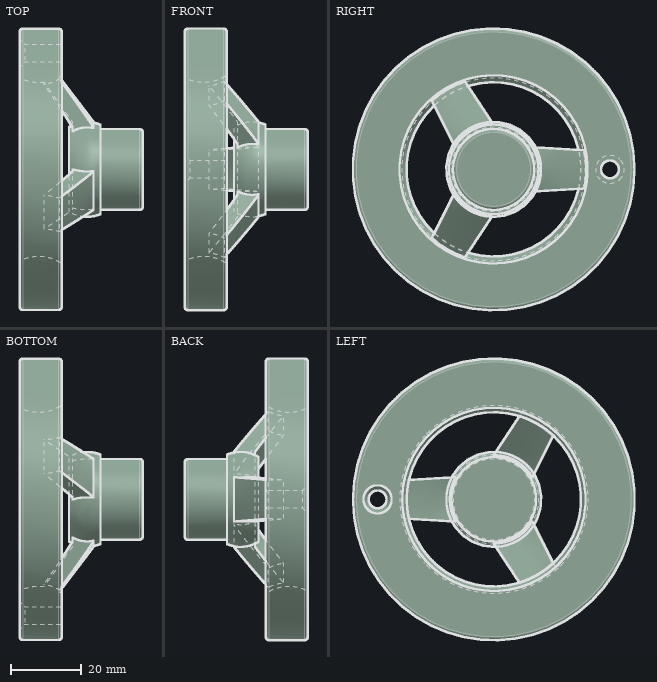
import cadquery as cq
import math


rim_radius = 40.0
rim_width = 12.0
rim_fillet = 1.0
rim_bore_front_radius = 26.0
rim_bore_back_radius = 26.7
rim_bore_middle_radius = 24.7

head_start = 14.0
head_end = 23.0
head_face_radius = 12.0
head_crown_radius = 13.5
head_crown_position = 19.0
head_back_radius = 12.7
shank_radius = 23.0 / 2
shank_fillet = 1.0
wheel_length = 35.0

spoke_count = 3
spoke_outer_radius_at_rim = 25.3
spoke_inner_radius_at_rim = 17.7
spoke_outer_end = 21.0
spoke_inner_end = 15.0
spoke_end_radius = 13.5
spoke_core_radius = 10.0
spoke_tip_radius = 25.0
spoke_tip_half_width = 5.5
spoke_root_radius = 11.5
spoke_root_half_width = 6.3

handle_offset = 33.0
handle_hole_diameter = 5.0
handle_sink_diameter = 8.0
handle_sink_angle = 90.0


def revolve_about_x(profile):
    """Revolve an (X, radius) profile a full turn about the X axis."""
    return profile.close().revolve(360, (0, 0, 0), (1, 0, 0))


def make_rim():
    """Ring with a bore that bulges inward and rounded outer edges."""
    profile = (
        cq.Workplane("XY")
        .moveTo(0, rim_bore_front_radius)
        .lineTo(0, rim_radius)
        .lineTo(rim_width, rim_radius)
        .lineTo(rim_width, rim_bore_back_radius)
        .threePointArc((rim_width / 2, rim_bore_middle_radius), (0, rim_bore_front_radius))
    )
    rim = revolve_about_x(profile)
    outer_edge = cq.selectors.RadiusNthSelector(-1)
    rim = rim.faces("<X").edges(outer_edge).fillet(rim_fillet)
    return rim.faces(">X").edges(outer_edge).fillet(rim_fillet)


def make_hub():
    """Crowned head and plain shank with a rounded end."""
    profile = (
        cq.Workplane("XY")
        .moveTo(head_start, 0)
        .lineTo(head_start, head_face_radius)
        .threePointArc((head_crown_position, head_crown_radius), (head_end, head_back_radius))
        .lineTo(head_end, shank_radius)
        .lineTo(wheel_length, shank_radius)
        .lineTo(wheel_length, 0)
    )
    return revolve_about_x(profile).faces(">X").edges().fillet(shank_fillet)


def make_spokes():
    """Equally spaced arms that widen towards the hub."""
    outer_slope = (spoke_outer_radius_at_rim - spoke_end_radius) / (spoke_outer_end - rim_width)
    inner_slope = (spoke_inner_radius_at_rim - spoke_end_radius) / (spoke_inner_end - rim_width)
    buried_radius = (rim_bore_back_radius + rim_radius) / 2
    buried_outer_x = rim_width - (buried_radius - spoke_outer_radius_at_rim) / outer_slope
    buried_inner_x = rim_width - (buried_radius - spoke_inner_radius_at_rim) / inner_slope
    profile = (
        cq.Workplane("XY")
        .moveTo(buried_inner_x, buried_radius)
        .lineTo(spoke_inner_end, spoke_end_radius)
        .lineTo(spoke_inner_end, spoke_core_radius)
        .lineTo(spoke_outer_end, spoke_core_radius)
        .lineTo(spoke_outer_end, spoke_end_radius)
        .lineTo(buried_outer_x, buried_radius)
    )
    shell = revolve_about_x(profile)

    arm_length = spoke_tip_radius - spoke_root_radius
    half_width_taper = (spoke_root_half_width - spoke_tip_half_width) / arm_length
    buried_half_width = spoke_tip_half_width - half_width_taper * (buried_radius - spoke_tip_radius)
    centre_half_width = spoke_root_half_width + half_width_taper * spoke_root_radius
    arm = (
        cq.Workplane("YZ")
        .moveTo(0, -centre_half_width)
        .lineTo(buried_radius, -buried_half_width)
        .lineTo(buried_radius, buried_half_width)
        .lineTo(0, centre_half_width)
        .close()
        .extrude(wheel_length)
    )
    spoke = shell.intersect(arm)
    spokes = spoke
    for index in range(1, spoke_count):
        spokes = spokes.union(spoke.rotate((0, 0, 0), (1, 0, 0), index * 360 / spoke_count))
    return spokes


def cut_handle_hole(wheel):
    """Drill through the rim along X and countersink the front face."""
    centre = cq.Vector(0, handle_offset, 0)
    along_x = cq.Vector(1, 0, 0)
    sink_radius = handle_sink_diameter / 2
    sink_depth = sink_radius / math.tan(math.radians(handle_sink_angle / 2))
    hole = cq.Solid.makeCylinder(handle_hole_diameter / 2, rim_width, centre, along_x)
    sink = cq.Solid.makeCone(sink_radius, 0, sink_depth, centre, along_x)
    return wheel.cut(cq.Workplane(hole)).cut(cq.Workplane(sink))


wheel = make_rim().union(make_hub()).union(make_spokes())
result = cut_handle_hole(wheel)